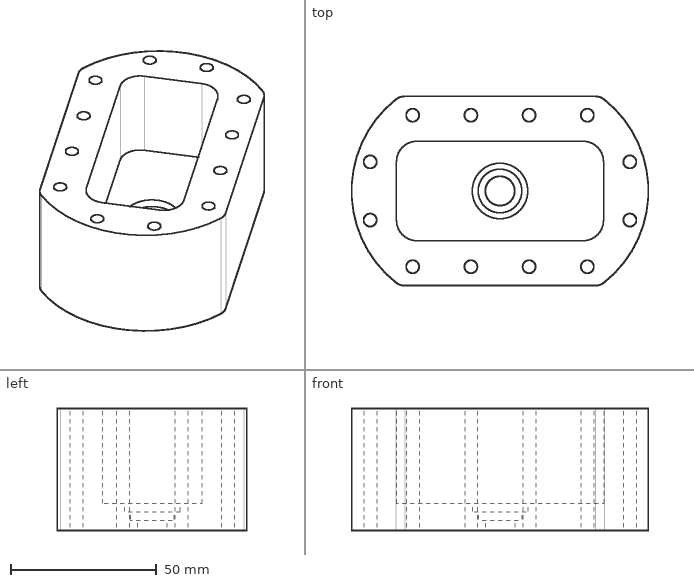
import cadquery as cq
import math

length = 101.9
width = 65.0
height = 42.0
end_radius = 40.0
corner_radius = 5.0

pocket_length = 71.0
pocket_width = 34.1
pocket_corner_radius = 7.0
floor_thickness = 9.5
pocket_depth = height - floor_thickness

bore_diameter = 10.0
step_depth = 3.0
step_diameters = (19.0, 15.0)

bolt_diameter = 4.4
bolt_pitch = 20.0
bolts_per_side = 4
bolts_per_end = 2
side_bolt_y = 26.0
end_bolt_x = 44.5


def make_body():
    """Extrude the outline and round the four edges where arcs meet flats."""
    arc_center_x = length / 2 - end_radius
    half_width = width / 2
    arc_end_x = arc_center_x + math.sqrt(end_radius**2 - half_width**2)
    outline = (
        cq.Workplane("XY")
        .moveTo(-arc_end_x, -half_width)
        .lineTo(arc_end_x, -half_width)
        .threePointArc((length / 2, 0), (arc_end_x, half_width))
        .lineTo(-arc_end_x, half_width)
        .threePointArc((-length / 2, 0), (-arc_end_x, -half_width))
        .close()
    )
    return outline.extrude(height).edges("|Z").fillet(corner_radius)


def make_pocket():
    """Pocket volume, open at the top face."""
    return (
        cq.Workplane("XY", origin=(0, 0, floor_thickness))
        .rect(pocket_length, pocket_width)
        .extrude(pocket_depth)
        .edges("|Z")
        .fillet(pocket_corner_radius)
    )


def make_stepped_bore():
    """Through bore with counterbores stepping down from the pocket floor."""
    bore = cq.Workplane("XY").circle(bore_diameter / 2).extrude(floor_thickness)
    for level, diameter in enumerate(step_diameters, start=1):
        depth = level * step_depth
        step = (
            cq.Workplane("XY", origin=(0, 0, floor_thickness - depth))
            .circle(diameter / 2)
            .extrude(depth)
        )
        bore = bore.union(step)
    return bore


def centered_row(count):
    """Evenly pitched positions centered on zero."""
    return [(i - (count - 1) / 2) * bolt_pitch for i in range(count)]


def make_bolt_holes():
    """Through holes along both flat sides and both arc ends."""
    points = []
    for sign in (-1, 1):
        points += [(x, sign * side_bolt_y) for x in centered_row(bolts_per_side)]
        points += [(sign * end_bolt_x, y) for y in centered_row(bolts_per_end)]
    return cq.Workplane("XY").pushPoints(points).circle(bolt_diameter / 2).extrude(height)


result = make_body().cut(make_pocket()).cut(make_stepped_bore()).cut(make_bolt_holes())